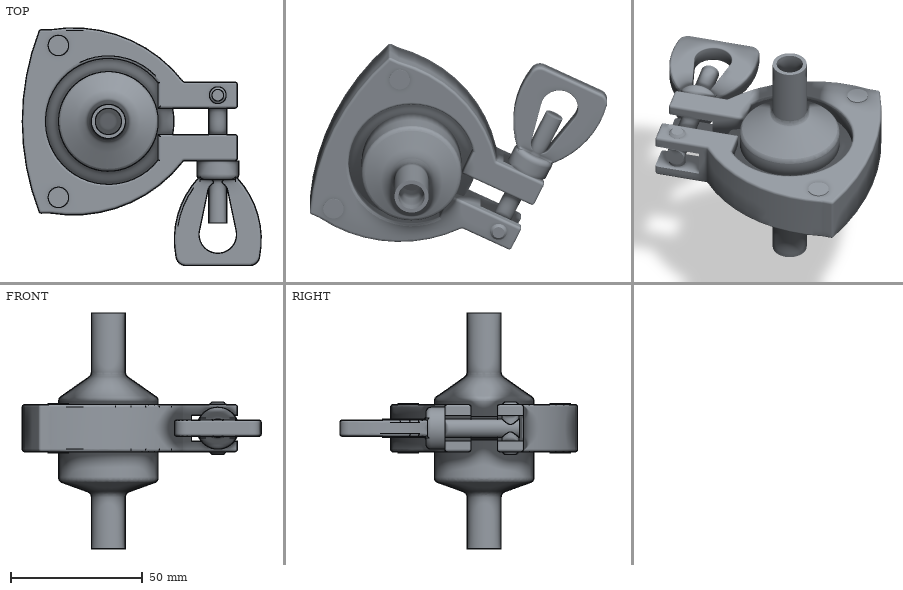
import cadquery as cq
import math

SELECTION_MARGIN = 0.01
CUTTER_SIZE = 120

TUBE_RADIUS = 13 / 2
TUBE_BORE_DIAMETER = 10
TUBE_TOP = 44
TUBE_BOTTOM = -46
BODY_RADIUS = 38 / 2
UPPER_SHOULDER = 11.4
UPPER_CONE_ANGLE = 35
LOWER_SHOULDER = -20.2
LOWER_CONE_ANGLE = 20
BODY_FILLET = 2
CONE_RUN = BODY_RADIUS - TUBE_RADIUS
UPPER_NECK = UPPER_SHOULDER + CONE_RUN * math.tan(math.radians(UPPER_CONE_ANGLE))
LOWER_NECK = LOWER_SHOULDER - CONE_RUN * math.tan(math.radians(LOWER_CONE_ANGLE))

FLANGE_RADIUS = 25
FLANGE_ROOT_HEIGHT = 4.5
FLANGE_ANGLE = 20

CLAMP_HEIGHT = 18
CLAMP_BORE_RADIUS = 24
CLAMP_BACK_X = -32.85
CLAMP_CORNER_X = -26.2
CLAMP_CORNER_Y = 35
CLAMP_CHEEK_X = -22.2
CLAMP_CHEEK_RADIUS = 53
CLAMP_CHEEK_CENTER_X = -13.4
CLAMP_WIDEST_Y = 35.7
CLAMP_EDGE_FILLET = 1
ARM_START_X = 19
ARM_END_X = 49.15
ARM_INNER_Y = 5
ARM_OUTER_Y = 15
ARM_SLOT_START_X = 31.7
ARM_SLOT_HEIGHT = 9.8

RIVET_DIAMETER = 7.8
RIVET_X = -19.05
RIVET_Y = 28.95
RIVET_PROJECTION = 0.5

BOLT_X = 41.7
BOLT_DIAMETER = 7
BOLT_END_Y = -38.8
PIVOT_HEAD_DIAMETER = 6.4
PIVOT_Y = (ARM_INNER_Y + ARM_OUTER_Y) / 2
PIVOT_PROJECTION = 1
PIVOT_CHAMFER = 0.98

COLLAR_RADIUS = 16 / 2
COLLAR_END_Y = -22.2
COLLAR_FILLET = 2
BOLT_FILLET = 1
JUNCTION_FILLET = 0.7
JUNCTION_HALF_LENGTH = 6.8

WING_THICKNESS = 6.2
WING_HALF_WIDTH = 16.6
WING_SIDE_RADIUS = 34.5
WING_WIDEST_Y = -45
WING_END_Y = -55
WING_NECK_Y = -21.5
WING_CORNER_RADIUS = 4
WING_EDGE_FILLET = 1
EYE_RADIUS = 7.1
EYE_Y = -43.1
EYE_TIP_RADIUS = 3.8
EYE_TIP_Y = -27
EYE_EDGE_FILLET = 0.4


def make_fitting():
    body = (
        cq.Workplane("XZ")
        .moveTo(0, TUBE_BOTTOM)
        .lineTo(TUBE_RADIUS, TUBE_BOTTOM)
        .lineTo(TUBE_RADIUS, LOWER_NECK)
        .lineTo(BODY_RADIUS, LOWER_SHOULDER)
        .lineTo(BODY_RADIUS, UPPER_SHOULDER)
        .lineTo(TUBE_RADIUS, UPPER_NECK)
        .lineTo(TUBE_RADIUS, TUBE_TOP)
        .lineTo(0, TUBE_TOP)
        .close()
        .revolve()
    )
    rounded_heights = (LOWER_NECK, LOWER_SHOULDER, UPPER_SHOULDER, UPPER_NECK)
    for height in rounded_heights:
        ring = cq.selectors.BoxSelector(
            (-FLANGE_RADIUS, -FLANGE_RADIUS, height - SELECTION_MARGIN),
            (FLANGE_RADIUS, FLANGE_RADIUS, height + SELECTION_MARGIN),
            boundingbox=True,
        )
        body = body.edges(ring).fillet(BODY_FILLET)

    flange_drop = (FLANGE_RADIUS - BODY_RADIUS) * math.tan(math.radians(FLANGE_ANGLE))
    flange_rim = FLANGE_ROOT_HEIGHT - flange_drop
    flange = (
        cq.Workplane("XZ")
        .moveTo(0, -FLANGE_ROOT_HEIGHT)
        .lineTo(BODY_RADIUS, -FLANGE_ROOT_HEIGHT)
        .lineTo(FLANGE_RADIUS, -flange_rim)
        .lineTo(FLANGE_RADIUS, flange_rim)
        .lineTo(BODY_RADIUS, FLANGE_ROOT_HEIGHT)
        .lineTo(0, FLANGE_ROOT_HEIGHT)
        .close()
        .revolve()
    )
    return body.union(flange)


def cut_tube_bores(part):
    """Blind bores, each as deep as the straight length of its tube."""
    for end, floor in ((TUBE_TOP, UPPER_NECK), (TUBE_BOTTOM, LOWER_NECK)):
        bore = cq.Workplane("XY", (0, 0, floor)).circle(TUBE_BORE_DIAMETER / 2).extrude(end - floor)
        part = part.cut(bore)
    return part


def cheek_y(x):
    """Height of the arched cheek of the clamp above the X axis."""
    center_y = CLAMP_WIDEST_Y - CLAMP_CHEEK_RADIUS
    return center_y + math.sqrt(CLAMP_CHEEK_RADIUS**2 - (x - CLAMP_CHEEK_CENTER_X) ** 2)


def cutter_from_x(start_x, width, height):
    """Long block running along +X from start_x, centred on the X axis."""
    block = cq.Workplane("XY").box(CUTTER_SIZE, width, height, centered=(False, True, True))
    return block.translate((start_x, 0, 0))


def make_clamp():
    cheek_rise = ARM_OUTER_Y - (CLAMP_WIDEST_Y - CLAMP_CHEEK_RADIUS)
    cheek_end_x = CLAMP_CHEEK_CENTER_X + math.sqrt(CLAMP_CHEEK_RADIUS**2 - cheek_rise**2)
    cheek_start_y = cheek_y(CLAMP_CHEEK_X)
    cheek_middle_x = (CLAMP_CHEEK_X + cheek_end_x) / 2
    cheek_middle_y = cheek_y(cheek_middle_x)
    outline = (
        cq.Workplane("XY", (0, 0, -CLAMP_HEIGHT / 2))
        .moveTo(CLAMP_CORNER_X, -CLAMP_CORNER_Y)
        .threePointArc((CLAMP_BACK_X, 0), (CLAMP_CORNER_X, CLAMP_CORNER_Y))
        .lineTo(CLAMP_CHEEK_X, cheek_start_y)
        .threePointArc((cheek_middle_x, cheek_middle_y), (cheek_end_x, ARM_OUTER_Y))
        .lineTo(ARM_END_X, ARM_OUTER_Y)
        .lineTo(ARM_END_X, -ARM_OUTER_Y)
        .lineTo(cheek_end_x, -ARM_OUTER_Y)
        .threePointArc((cheek_middle_x, -cheek_middle_y), (CLAMP_CHEEK_X, -cheek_start_y))
        .lineTo(CLAMP_CORNER_X, -CLAMP_CORNER_Y)
        .close()
        .extrude(CLAMP_HEIGHT)
    )
    bore = cq.Workplane("XY").circle(CLAMP_BORE_RADIUS).extrude(CLAMP_HEIGHT, both=True)
    bore = bore.cut(cutter_from_x(ARM_START_X, CUTTER_SIZE, CUTTER_SIZE))
    gap = cutter_from_x(0, 2 * ARM_INNER_Y, CUTTER_SIZE)
    clamp = outline.cut(bore).cut(gap)
    for corner_x in (CLAMP_CORNER_X, cheek_end_x, ARM_END_X):
        corners = cq.selectors.BoxSelector(
            (corner_x - SELECTION_MARGIN, -CLAMP_WIDEST_Y, -CLAMP_HEIGHT),
            (corner_x + SELECTION_MARGIN, CLAMP_WIDEST_Y, CLAMP_HEIGHT),
            boundingbox=True,
        )
        clamp = clamp.edges(corners).edges("|Z").fillet(CLAMP_EDGE_FILLET)
    clamp = clamp.faces(">Z or <Z").edges().fillet(CLAMP_EDGE_FILLET)

    return clamp.cut(cutter_from_x(ARM_SLOT_START_X, CUTTER_SIZE, ARM_SLOT_HEIGHT))


def make_rivets():
    length = CLAMP_HEIGHT + 2 * RIVET_PROJECTION
    return (
        cq.Workplane("XY", (0, 0, -length / 2))
        .pushPoints([(RIVET_X, RIVET_Y), (RIVET_X, -RIVET_Y)])
        .circle(RIVET_DIAMETER / 2)
        .extrude(length)
    )


def make_pivot_pin():
    length = CLAMP_HEIGHT + 2 * PIVOT_PROJECTION
    return (
        cq.Workplane("XY", (BOLT_X, PIVOT_Y, -length / 2))
        .circle(PIVOT_HEAD_DIAMETER / 2)
        .extrude(length)
        .edges()
        .chamfer(PIVOT_CHAMFER)
    )


def rod_along_y(radius, start_y, end_y):
    return cq.Workplane("XZ", (BOLT_X, start_y, 0)).circle(radius).extrude(start_y - end_y)


def make_wing():
    def side_offset(y):
        """Distance from the bolt axis to the bowed side of the wing."""
        arc_reach = math.sqrt(WING_SIDE_RADIUS**2 - (y - WING_WIDEST_Y) ** 2)
        return WING_HALF_WIDTH - WING_SIDE_RADIUS + arc_reach

    neck = side_offset(WING_NECK_Y)
    middle_y = (WING_NECK_Y + WING_END_Y) / 2
    middle = side_offset(middle_y)
    end = side_offset(WING_END_Y)
    wing = (
        cq.Workplane("XY", (BOLT_X, 0, -WING_THICKNESS / 2))
        .moveTo(-neck, WING_NECK_Y)
        .threePointArc((-middle, middle_y), (-end, WING_END_Y))
        .lineTo(end, WING_END_Y)
        .threePointArc((middle, middle_y), (neck, WING_NECK_Y))
        .close()
        .extrude(WING_THICKNESS)
        .edges("|Z and <Y")
        .fillet(WING_CORNER_RADIUS)
    )
    wing = wing.faces(">Z or <Z").edges("not >Y").fillet(WING_EDGE_FILLET)

    tilt = (EYE_RADIUS - EYE_TIP_RADIUS) / (EYE_TIP_Y - EYE_Y)
    along = math.sqrt(1 - tilt**2)
    eye = (
        cq.Workplane("XY", (BOLT_X, 0, -WING_THICKNESS / 2))
        .moveTo(-EYE_RADIUS * along, EYE_Y + EYE_RADIUS * tilt)
        .threePointArc((0, EYE_Y - EYE_RADIUS), (EYE_RADIUS * along, EYE_Y + EYE_RADIUS * tilt))
        .lineTo(EYE_TIP_RADIUS * along, EYE_TIP_Y + EYE_TIP_RADIUS * tilt)
        .threePointArc(
            (0, EYE_TIP_Y + EYE_TIP_RADIUS),
            (-EYE_TIP_RADIUS * along, EYE_TIP_Y + EYE_TIP_RADIUS * tilt),
        )
        .close()
        .extrude(WING_THICKNESS)
    )
    wing = wing.cut(eye)
    eye_reach_x = EYE_RADIUS + SELECTION_MARGIN
    eye_bottom_y = EYE_Y - EYE_RADIUS - SELECTION_MARGIN
    eye_top_y = EYE_TIP_Y + EYE_TIP_RADIUS + SELECTION_MARGIN
    eye_edges = cq.selectors.BoxSelector(
        (BOLT_X - eye_reach_x, eye_bottom_y, -WING_THICKNESS),
        (BOLT_X + eye_reach_x, eye_top_y, WING_THICKNESS),
        boundingbox=True,
    )
    return wing.edges(eye_edges).edges("not |Z").fillet(EYE_EDGE_FILLET)


def make_junction_fillets():
    """Hollow fillets between both faces of the wing and the end of the collar."""
    wing_face = WING_THICKNESS / 2
    arc_sag = JUNCTION_FILLET * (1 - math.sqrt(0.5))
    fillet = (
        cq.Workplane("YZ", (BOLT_X - JUNCTION_HALF_LENGTH, 0, 0))
        .moveTo(COLLAR_END_Y - JUNCTION_FILLET, 0)
        .lineTo(COLLAR_END_Y - JUNCTION_FILLET, wing_face)
        .threePointArc(
            (COLLAR_END_Y - arc_sag, wing_face + arc_sag),
            (COLLAR_END_Y, wing_face + JUNCTION_FILLET),
        )
        .lineTo(COLLAR_END_Y + COLLAR_FILLET, wing_face + JUNCTION_FILLET)
        .lineTo(COLLAR_END_Y + COLLAR_FILLET, 0)
        .close()
        .extrude(2 * JUNCTION_HALF_LENGTH)
    )
    return fillet.union(fillet.mirror("XY"))


def make_bolt_fillet():
    """Hollow fillet around the bolt where it leaves the collar."""
    bolt_radius = BOLT_DIAMETER / 2
    arc_sag = BOLT_FILLET * (1 - math.sqrt(0.5))
    return (
        cq.Workplane("XY", (BOLT_X, COLLAR_END_Y, 0))
        .moveTo(0, 0)
        .lineTo(bolt_radius + BOLT_FILLET, 0)
        .threePointArc((bolt_radius + arc_sag, -arc_sag), (bolt_radius, -BOLT_FILLET))
        .lineTo(0, -BOLT_FILLET)
        .close()
        .revolve(360, (0, 0, 0), (0, 1, 0))
    )


def make_wing_nut():
    collar = rod_along_y(COLLAR_RADIUS, -ARM_OUTER_Y, COLLAR_END_Y)
    collar = collar.edges("<Y").fillet(COLLAR_FILLET)
    return collar.union(make_wing()).union(make_junction_fillets()).union(make_bolt_fillet())


bolt = rod_along_y(BOLT_DIAMETER / 2, PIVOT_Y + BOLT_DIAMETER / 2, BOLT_END_Y)

result = cut_tube_bores(make_fitting())
for member in (make_clamp(), make_rivets(), make_pivot_pin(), make_wing_nut(), bolt):
    result = result.union(member)